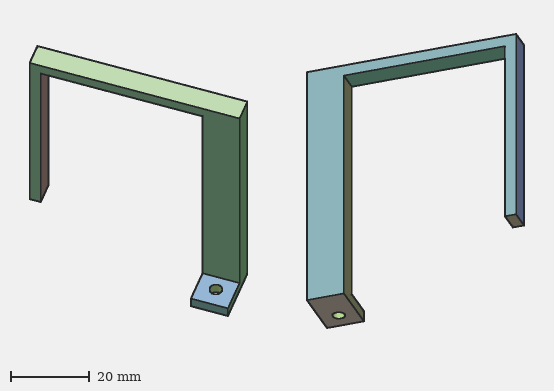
import cadquery as cq

width = 56.5
depth = 15.0
height = 67.0

bar_depth = 6.0
thickness = 3.0
wide_leg_width = 10.0
narrow_leg_length = 53.0

tab_length = depth - bar_depth
hole_diameter = 3.2
hole_from_tab_end = wide_leg_width / 2


def block(size_x, size_y, size_z, corner):
    """Box placed by its lowest-coordinate corner."""
    return cq.Workplane("XY").box(size_x, size_y, size_z, centered=False).translate(corner)


wide_leg_x = width - wide_leg_width

top_bar = block(width, bar_depth, thickness, (0, tab_length, height - thickness))
narrow_leg = block(thickness, bar_depth, narrow_leg_length, (0, tab_length, height - narrow_leg_length))
wide_leg = block(wide_leg_width, bar_depth, height, (wide_leg_x, tab_length, 0))

tab = block(wide_leg_width, tab_length, thickness, (wide_leg_x, 0, 0))

hole = (
    cq.Workplane("XY")
    .center(wide_leg_x + wide_leg_width / 2, hole_from_tab_end)
    .circle(hole_diameter / 2)
    .extrude(thickness)
)

result = top_bar.union(narrow_leg).union(wide_leg).union(tab).cut(hole)